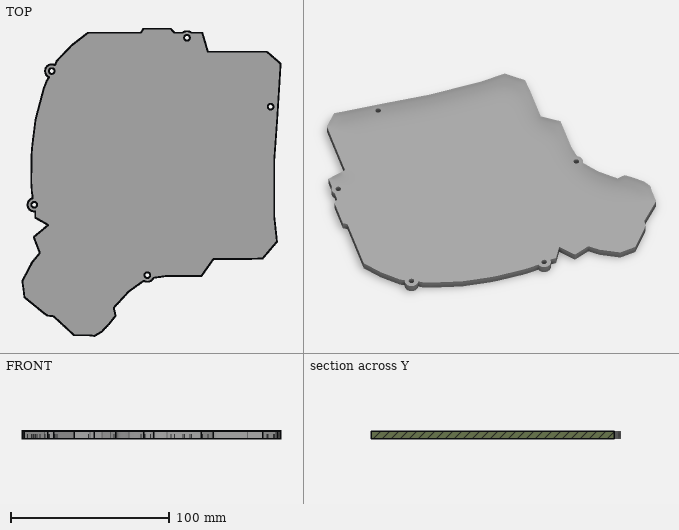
import cadquery as cq

width = 163.2
length = 194
thickness = 5.0

hole_diameter = 3.5
ear_radius = 4.3
ear_centers = [(18.6, 167.2), (7.5, 82.8), (79.0, 38.5), (104.0, 188.2)]
plain_hole_centers = [(156.8, 144.7)]

top_edge = 191.5
shoulder = 179.5
lower_right_edge = 48.5
lower_middle_edge = 37.8

left_corners = [
    (6.5, 87.1),
    (6.0, 91.0),
    (5.6, 96.8),
    (5.8, 114.5),
    (6.2, 119.7),
    (8.3, 136.5),
    (9.7, 141.8),
    (13.5, 156.4),
    (15.5, 161.2),
    (17.0, 163.5),
]

top_corners = [
    (20.8, 171.3),
    (21.7, 173.6),
    (31.2, 183.5),
    (41.5, top_edge),
    (74.9, top_edge),
    (76.5, length),
    (93.7, length),
    (96.0, top_edge),
    (113.7, top_edge),
    (117.2, shoulder),
    (154.5, shoulder),
    (width, 171.9),
]

right_corners = [
    (161.0, 137.8),
    (159.0, 110.5),
    (159.0, 75.7),
    (160.8, 59.5),
]

lower_corners = [
    (159.7, 58.2),
    (151.7, 48.9),
    (142.0, lower_right_edge),
    (120.7, lower_right_edge),
    (113.1, lower_middle_edge),
    (91.2, lower_middle_edge),
    (82.8, 36.7),
    (76.2, 34.5),
    (67.1, 28.0),
    (57.8, 17.8),
]

lobe_corners = [
    (59.0, 12.8),
    (55.5, 8.3),
    (50.3, 2.7),
    (45.5, 0),
    (42.5, 0.4),
    (32.8, 0.4),
    (19.8, 12.5),
    (16.1, 12.8),
    (14.0, 14.2),
    (1.4, 24.5),
    (0.8, 29.1),
    (0, 34.7),
    (6.2, 46.5),
    (11.0, 52.4),
    (7.2, 62.5),
    (16.3, 70.0),
    (8.1, 74.7),
    (8.1, 82.8),
]


def make_plate():
    corners = left_corners + top_corners + right_corners + lower_corners + lobe_corners
    return cq.Workplane("XY").polyline(corners).close().extrude(thickness)


def make_discs(centers, radius):
    return cq.Workplane("XY").pushPoints(centers).circle(radius).extrude(thickness)


plate = make_plate().union(make_discs(ear_centers, ear_radius))
holes = make_discs(ear_centers + plain_hole_centers, hole_diameter / 2)
result = plate.cut(holes)